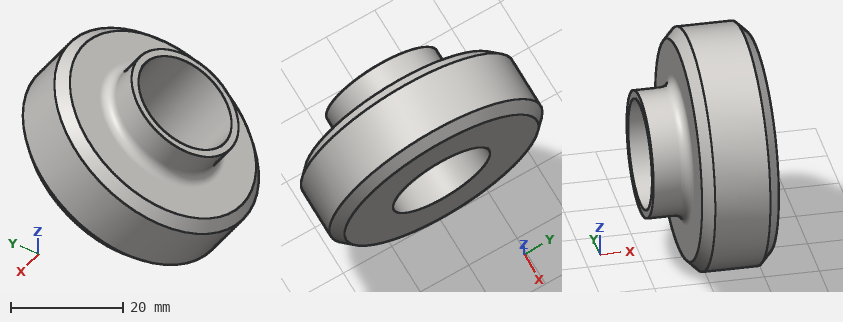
import cadquery as cq

outer_diameter = 44.0
bore_diameter = 20.0
hub_diameter = 23.0
total_length = 21.0
disc_width = 14.0
rim_chamfer = 2.0
root_fillet = 2.0

hub_length = total_length - disc_width


def cylinder_along_x(diameter, start, length):
    """Solid cylinder on the X axis, running from start toward +X."""
    return cq.Workplane("YZ", origin=(start, 0, 0)).circle(diameter / 2).extrude(length)


disc = cylinder_along_x(outer_diameter, hub_length, disc_width).edges().chamfer(rim_chamfer)

hub = cylinder_along_x(hub_diameter, 0, total_length)
body = disc.union(hub)

root_edge = cq.selectors.RadiusNthSelector(0)
body = body.faces("<X[1]").edges(root_edge).fillet(root_fillet)

bore = cylinder_along_x(bore_diameter, 0, total_length)
result = body.cut(bore)